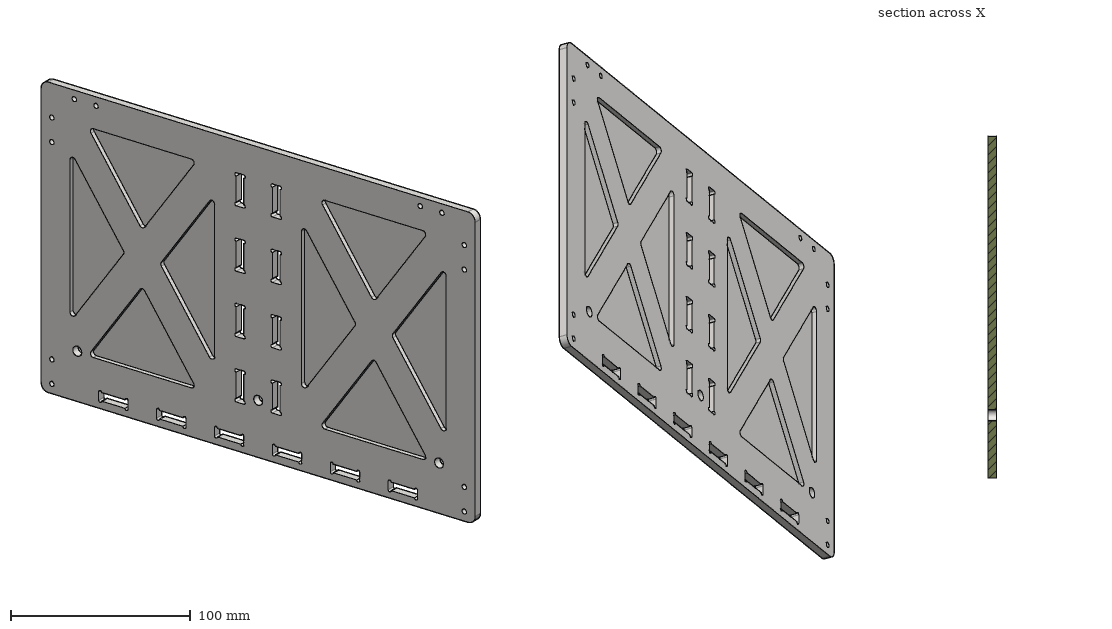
import cadquery as cq
import math

plate_width = 300.0
plate_thickness = 5.0
plate_height = 190.0
corner_radius = 5.0

screw_diameter = 3.0
screw_pitch = 15.0
screw_edge_inset = 7.5
screw_top_inset = 5.5
top_pair_inset = 23.0
upper_pair_inset = 21.0
lower_pair_inset = 6.0

mount_diameter = 6.0
mount_side_inset = 25.0
mount_side_height = 30.8
mount_centre_height = 35.0

tab_length = 20.0
tab_clearance = 0.2
slot_length = tab_length + tab_clearance
slot_width = plate_thickness + tab_clearance
relief_radius = 1.0
slot_pitch = 40.0
column_offset = 12.5
column_slot_count = 4
column_base_height = 40.0
row_slot_count = 6
row_height = 7.5

panel_width = 100.0
panel_height = 140.0
panel_offset = 80.0
panel_centre_height = 100.0
rib_width = 20.0
pocket_fillet = 2.0
pocket_depth = 3.0

half_width = plate_width / 2
half_height = plate_height / 2
front_y = -plate_thickness / 2


def height_to_z(height):
    """Z of a point given by its height above the bottom edge."""
    return height - half_height


def front_plane(x=0.0, z=0.0):
    """Sketch plane on the front face: local x is X, local y is Z, extruding out to -Y."""
    return cq.Workplane("XZ", origin=(x, front_y, z))


def make_plate():
    plate = cq.Workplane("XY").box(plate_width, plate_thickness, plate_height)
    return plate.edges("|Y").fillet(corner_radius)


def through_holes(points, diameter):
    return front_plane().pushPoints(points).circle(diameter / 2).extrude(-plate_thickness)


def screw_points():
    points = []
    for side in (-1, 1):
        edge_x = side * (half_width - screw_edge_inset)
        for step in (0, screw_pitch):
            top_x = side * (half_width - top_pair_inset - step)
            points.append((top_x, half_height - screw_top_inset))
            points.append((edge_x, half_height - upper_pair_inset - step))
            points.append((edge_x, -half_height + lower_pair_inset + step))
    return points


def mount_points():
    side_x = half_width - mount_side_inset
    side_z = height_to_z(mount_side_height)
    return [(-side_x, side_z), (side_x, side_z), (0, height_to_z(mount_centre_height))]


def make_slot(x, z, turn):
    """Upright through slot whose relief circles bulge past its long sides, turned about Y."""
    relief_span = slot_length - 2 * relief_radius
    slot = front_plane().rect(slot_width, slot_length).extrude(-plate_thickness)
    reliefs = (
        front_plane()
        .rect(slot_width, relief_span, forConstruction=True)
        .vertices()
        .circle(relief_radius)
        .extrude(-plate_thickness)
    )
    slot = slot.union(reliefs).rotate((0, 0, 0), (0, 1, 0), turn)
    return slot.translate((x, 0, z))


def make_slots():
    slots = cq.Workplane("XZ")
    for side in (-1, 1):
        for index in range(column_slot_count):
            z = height_to_z(column_base_height + index * slot_pitch)
            slots = slots.add(make_slot(side * column_offset, z, 0))
    for index in range(row_slot_count):
        x = (index - (row_slot_count - 1) / 2) * slot_pitch
        slots = slots.add(make_slot(x, height_to_z(row_height), 90))
    return slots


def make_triangle(points, x):
    pocket = front_plane(x, height_to_z(panel_centre_height)).polyline(points).close()
    return pocket.extrude(-pocket_depth).edges("|Y").fillet(pocket_fillet)


def make_panel_pockets(x):
    """Four triangles left between the panel outline and its diagonal ribs."""
    diagonal = math.hypot(panel_width, panel_height)
    apex_x = rib_width / 2 * diagonal / panel_height
    apex_z = rib_width / 2 * diagonal / panel_width
    side_x = panel_width / 2
    side_z = panel_height / 2
    pockets = cq.Workplane("XZ")
    for sign in (-1, 1):
        side_triangle = [
            (sign * apex_x, 0),
            (sign * side_x, side_z - apex_z),
            (sign * side_x, apex_z - side_z),
        ]
        end_triangle = [
            (0, sign * apex_z),
            (side_x - apex_x, sign * side_z),
            (apex_x - side_x, sign * side_z),
        ]
        pockets = pockets.add(make_triangle(side_triangle, x))
        pockets = pockets.add(make_triangle(end_triangle, x))
    return pockets


def cut_all(body, cutters):
    for cutter in cutters.vals():
        body = body.cut(cq.Workplane(cutter))
    return body


result = make_plate()
result = result.cut(through_holes(screw_points(), screw_diameter))
result = result.cut(through_holes(mount_points(), mount_diameter))
result = cut_all(result, make_slots())
for panel_side in (-1, 1):
    result = cut_all(result, make_panel_pockets(panel_side * panel_offset))